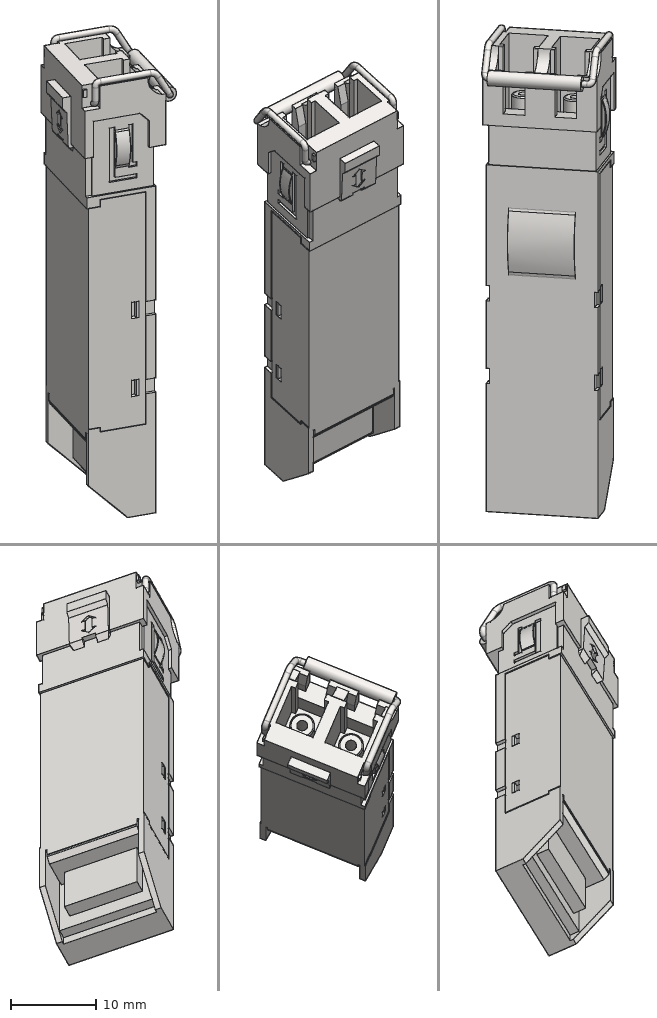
import cadquery as cq
import math

SIDES = (-1, 1)
OVER = 1.0

BODY_HALF_X = 6.7
BODY_BACK_Y = 8.5
BODY_TOP_Z = 42.3
COLLAR_FRONT_Y = -0.22
COLLAR_BOTTOM_Z = 40.85
TIP_CHAMFER = 4.9

PANEL_DEPTH = 0.12
PANEL_BACK_Y = 7.25
PANEL_STEP_Y = 1.5
PANEL_BOTTOM_Z = 11.7
PANEL_BOTTOM_FRONT_Z = 12.25
PANEL_TOP_Z = 41.75

NOTCH_LEVELS = (26.65, 16.55)
NOTCH_HEIGHT = 1.85
NOTCH_DEPTH = 0.4
WINDOW_HEIGHT = 2.1
WINDOW_FRONT_Y = 5.48
WINDOW_BACK_Y = 6.08
WINDOW_DEPTH = 0.7
WINDOW_LIP_Y = 6.43
WINDOW_LIP_DEPTH = 0.15

RECESS_HALF_X = 5.95
RECESS_FLOOR_Y = 4.15
RECESS_TOP_Z = 10.25
RECESS_TOP_CHAMFER = 0.65
RECESS_LIP_Z = 10.55
RECESS_LIP_DEPTH = 0.08
UNDERCUT_TOP_Z = 1.18
UNDERCUT_FLOOR_Y = 5.3
BLOCK_HALF_X = 4.65
BLOCK_BOTTOM_Z = 3.25
BLOCK_FRONT_Y = 2.58
SLIT_WIDTH = 0.2
SLIT_TOP_Z = 11.45

BACK_SPRING_HALF_X = 4.0
BACK_SPRING_BOTTOM_Z = 29.05
BACK_SPRING_TOP_Z = 37.2
BACK_SPRING_RISE = 0.7
SPRING_THICKNESS = 0.12

NECK_HALF_X = 6.45
NECK_FRONT_HALF_X = 6.22
NECK_STEP_Y = 0.52
NECK_BACK_Y = 8.3

HEAD_HALF_X = 6.85
HEAD_FRONT_Y = -0.55
HEAD_BACK_Y = 9.7
HEAD_BOTTOM_Z = 47.5
HEAD_TOP_Z = 56.57
SCOOP_FRONT_Y = 7.4
SCOOP_BACK_Y = 9.2
SCOOP_MID = (7.9, 55.0)
SCOOP_BOTTOM_Z = 54.1

SIDE_WINDOW_BACK_Y = 7.6
SIDE_WINDOW_TOP_Z = 52.13
SIDE_WINDOW_CHAMFER = 1.2

SPRING_FRONT_Y = 3.45
SPRING_BACK_Y = 5.2
SPRING_BOTTOM_Z = 45.4
SPRING_TOP_Z = 50.3
SPRING_PEAK_X = 7.0
SLIT_DEPTH = 0.3
SLIT_HEAD_Z = 50.7
SLIT_FRONT_Y = 2.7
SLIT_BACK_Y = 5.72
SLIT_FOOT_Y = 6.2
SLIT_FOOT_TOP_Z = 45.75
SLIT_FOOT_BOTTOM_Z = 45.2
SLIT_BASE_TOP_Z = 44.2
SLIT_BASE_BOTTOM_Z = 43.67

PORT_PITCH = 6.2
PORT_WIDTH = 4.7
PORT_FRONT_Y = 1.9
PORT_SHOULDER_Y = 6.6
PORT_NECK_WIDTH = 3.65
PORT_FLOOR_Z = 44.0
LATCH_BACK_Y = 9.0
LATCH_FLOOR_Z = 49.0
LATCH_SLOT_WIDTH = 2.6
TOOTH_REACH = 0.6
TOOTH_FALL = 2.5
SLEEVE_D = 2.92
SLEEVE_BORE = 1.25
SLEEVE_CHAMFER = 0.16
SLEEVE_Y = 4.23
SLEEVE_TOP_Z = 50.0

TAB_HALF_X = 2.5
TAB_FRONT_Y = -1.6
TAB_TOP_Z = 53.65
TAB_GRIP_Z = 52.15
TAB_FACE_TOP = (-1.07, 51.6)
TAB_FACE_BOTTOM = (-0.87, 47.1)
TAB_BOTTOM_Z = 46.4
TAB_CORNER_X = 0.3
TAB_CORNER_Z = 0.6
TAB_GAP_HALF_X = 0.85
TAB_GAP_TOP_Z = 47.4

ARROW_CENTER_Z = 49.4
ARROW_HALF_LENGTH = 1.5
ARROW_NECK = 0.75
ARROW_HEAD_HALF_X = 0.9
ARROW_SHAFT_HALF_X = 0.45
ARROW_FLOOR_Y = -0.75

WIRE_D = 0.8
WIRE_X = 6.45
WIRE_FRONT_Y = 0.95
WIRE_FOOT_Z = 54.05
WIRE_TOP_Z = 56.95
WIRE_BEND_Y = 8.5
BEND_RADIUS = 0.55
BACK_BEND_RADIUS = 1.2
ROLLER_D = 1.8
ROLLER_Y = 10.5
ROLLER_Z = 53.5
ROLLER_LEFT_X = -5.27
ROLLER_RIGHT_X = 5.95

POCKET_INNER_X = 5.92
POCKET_BACK_Y = 1.4
POCKET_BOTTOM_Z = 53.65
LUG_OUTER_X = 6.2
LUG_FRONT_Y = -0.45
LUG_BOTTOM_Z = 55.1
LUG_TOP_Z = 56.05


def box(x0, x1, y0, y1, z0, z1):
    """Axis-aligned block between two opposite corners."""
    return cq.Workplane("XY").box(x1 - x0, y1 - y0, z1 - z0, centered=False).translate((x0, y0, z0))


def side_box(side, x_in, x_out, y0, y1, z0, z1):
    """Block on one side of the part; x_in and x_out are distances from the middle plane."""
    x0, x1 = sorted((side * x_in, side * x_out))
    return box(x0, x1, y0, y1, z0, z1)


def across(outline, x0, x1):
    """Extrude a closed (Y, Z) outline from x0 to x1."""
    return cq.Workplane("YZ", origin=(x0, 0, 0)).polyline(outline).close().extrude(x1 - x0)


def side_cut(side, outline, x_in):
    """Cutter with a (Y, Z) outline that removes everything farther out than x_in."""
    x0, x1 = sorted((side * x_in, side * (HEAD_HALF_X + OVER)))
    return across(outline, x0, x1)


def arch(workplane, base, bottom, top, rise, direction, length):
    """Thin arched strip.

    base and rise lie along the workplane's first axis, bottom and top along its second.
    """
    middle = (bottom + top) / 2
    outer = base + direction * rise
    inner = outer - direction * SPRING_THICKNESS
    foot = base - direction * SPRING_THICKNESS
    return (
        workplane.moveTo(base, bottom)
        .threePointArc((outer, middle), (base, top))
        .lineTo(foot, top)
        .threePointArc((inner, middle), (foot, bottom))
        .close()
        .extrude(length)
    )


def make_body():
    """Long body with its collar and the sloped tip."""
    outline = [
        (TIP_CHAMFER, 0),
        (BODY_BACK_Y, 0),
        (BODY_BACK_Y, BODY_TOP_Z),
        (COLLAR_FRONT_Y, BODY_TOP_Z),
        (COLLAR_FRONT_Y, COLLAR_BOTTOM_Z),
        (0, COLLAR_BOTTOM_Z),
        (0, TIP_CHAMFER),
    ]
    return across(outline, -BODY_HALF_X, BODY_HALF_X)


def cut_side_details(body):
    """Side panels, back notches and panel windows on both flanks."""
    panel = [
        (-OVER, PANEL_BOTTOM_FRONT_Z),
        (PANEL_STEP_Y, PANEL_BOTTOM_FRONT_Z),
        (PANEL_STEP_Y, PANEL_BOTTOM_Z),
        (PANEL_BACK_Y, PANEL_BOTTOM_Z),
        (PANEL_BACK_Y, PANEL_TOP_Z),
        (PANEL_STEP_Y, PANEL_TOP_Z),
        (PANEL_STEP_Y, COLLAR_BOTTOM_Z),
        (-OVER, COLLAR_BOTTOM_Z),
    ]
    outside = BODY_HALF_X + OVER
    for side in SIDES:
        body = body.cut(side_cut(side, panel, BODY_HALF_X - PANEL_DEPTH))
        for level in NOTCH_LEVELS:
            notch_z = (level - NOTCH_HEIGHT / 2, level + NOTCH_HEIGHT / 2)
            window_z = (level - WINDOW_HEIGHT / 2, level + WINDOW_HEIGHT / 2)
            notch_x = BODY_HALF_X - NOTCH_DEPTH
            window_x = BODY_HALF_X - WINDOW_DEPTH
            lip_x = BODY_HALF_X - WINDOW_LIP_DEPTH
            body = body.cut(side_box(side, notch_x, outside, PANEL_BACK_Y, BODY_BACK_Y + OVER, *notch_z))
            body = body.cut(side_box(side, window_x, outside, WINDOW_FRONT_Y, WINDOW_BACK_Y, *window_z))
            body = body.cut(side_box(side, lip_x, outside, WINDOW_BACK_Y, WINDOW_LIP_Y, *window_z))
    return body


def cut_connector_recess(body):
    """Recess at the front of the tip, with its raised block, undercut, lip and two corner slits."""
    chamfer_bottom_z = RECESS_TOP_Z - RECESS_TOP_CHAMFER
    recess = [
        (-OVER, -OVER),
        (UNDERCUT_FLOOR_Y, -OVER),
        (UNDERCUT_FLOOR_Y, UNDERCUT_TOP_Z),
        (RECESS_FLOOR_Y, UNDERCUT_TOP_Z),
        (RECESS_FLOOR_Y, chamfer_bottom_z),
        (RECESS_LIP_DEPTH + RECESS_TOP_CHAMFER, chamfer_bottom_z),
        (RECESS_LIP_DEPTH, RECESS_TOP_Z),
        (RECESS_LIP_DEPTH, RECESS_LIP_Z),
        (-OVER, RECESS_LIP_Z),
    ]
    block = box(
        -BLOCK_HALF_X, BLOCK_HALF_X, BLOCK_FRONT_Y, RECESS_FLOOR_Y, BLOCK_BOTTOM_Z, chamfer_bottom_z
    )
    body = body.cut(across(recess, -RECESS_HALF_X, RECESS_HALF_X).cut(block))
    slit_inner_x = RECESS_HALF_X - SLIT_WIDTH
    for side in SIDES:
        body = body.cut(
            side_box(side, slit_inner_x, RECESS_HALF_X, -OVER, RECESS_FLOOR_Y, UNDERCUT_TOP_Z, SLIT_TOP_Z)
        )
    return body


def make_back_spring():
    """Arched grounding spring on the back of the body."""
    plane = cq.Workplane("YZ", origin=(-BACK_SPRING_HALF_X, 0, 0))
    return arch(
        plane,
        BODY_BACK_Y,
        BACK_SPRING_BOTTOM_Z,
        BACK_SPRING_TOP_Z,
        BACK_SPRING_RISE,
        1,
        2 * BACK_SPRING_HALF_X,
    )


def make_neck():
    """Neck block, narrower along its front edge, reaching up into the head."""
    front = box(
        -NECK_FRONT_HALF_X, NECK_FRONT_HALF_X, COLLAR_FRONT_Y, NECK_STEP_Y, BODY_TOP_Z, HEAD_BOTTOM_Z
    )
    main = box(-NECK_HALF_X, NECK_HALF_X, NECK_STEP_Y, NECK_BACK_Y, BODY_TOP_Z, HEAD_BOTTOM_Z)
    return front.union(main)


def make_head():
    """Head block with the concave back edge, a window in each side and front corner pockets with lugs."""
    head = (
        cq.Workplane("YZ", origin=(-HEAD_HALF_X, 0, 0))
        .moveTo(HEAD_FRONT_Y, HEAD_BOTTOM_Z)
        .lineTo(HEAD_BACK_Y, HEAD_BOTTOM_Z)
        .lineTo(HEAD_BACK_Y, SCOOP_BOTTOM_Z)
        .lineTo(SCOOP_BACK_Y, SCOOP_BOTTOM_Z)
        .threePointArc(SCOOP_MID, (SCOOP_FRONT_Y, HEAD_TOP_Z))
        .lineTo(HEAD_FRONT_Y, HEAD_TOP_Z)
        .close()
        .extrude(2 * HEAD_HALF_X)
    )
    window = [
        (NECK_STEP_Y, HEAD_BOTTOM_Z),
        (SIDE_WINDOW_BACK_Y, HEAD_BOTTOM_Z),
        (SIDE_WINDOW_BACK_Y, SIDE_WINDOW_TOP_Z - SIDE_WINDOW_CHAMFER),
        (SIDE_WINDOW_BACK_Y - SIDE_WINDOW_CHAMFER, SIDE_WINDOW_TOP_Z),
        (NECK_STEP_Y, SIDE_WINDOW_TOP_Z),
    ]
    for side in SIDES:
        head = head.cut(side_cut(side, window, NECK_HALF_X))
        head = head.cut(
            side_box(
                side,
                POCKET_INNER_X,
                HEAD_HALF_X + OVER,
                HEAD_FRONT_Y - OVER,
                POCKET_BACK_Y,
                POCKET_BOTTOM_Z,
                HEAD_TOP_Z + OVER,
            )
        )
        head = head.union(
            side_box(side, POCKET_INNER_X, LUG_OUTER_X, LUG_FRONT_Y, 0, LUG_BOTTOM_Z, LUG_TOP_Z)
        )
    return head


def add_side_springs(part):
    """Slits that free a tongue in each side of the neck, and the tongue's arch."""
    back_slit = [
        (SPRING_BACK_Y, SLIT_HEAD_Z),
        (SLIT_BACK_Y, SLIT_HEAD_Z),
        (SLIT_BACK_Y, SLIT_FOOT_TOP_Z),
        (SLIT_FOOT_Y, SLIT_FOOT_TOP_Z),
        (SLIT_FOOT_Y, SLIT_FOOT_BOTTOM_Z),
        (SPRING_BACK_Y, SLIT_FOOT_BOTTOM_Z),
    ]
    front_slit = [
        (SPRING_FRONT_Y, SLIT_HEAD_Z),
        (SLIT_FRONT_Y, SLIT_HEAD_Z),
        (SLIT_FRONT_Y, SLIT_BASE_BOTTOM_Z),
        (SLIT_FOOT_Y, SLIT_BASE_BOTTOM_Z),
        (SLIT_FOOT_Y, SLIT_BASE_TOP_Z),
        (SPRING_FRONT_Y, SLIT_BASE_TOP_Z),
    ]
    plane = cq.Workplane("XZ", origin=(0, SPRING_BACK_Y, 0))
    for side in SIDES:
        for slit in (back_slit, front_slit):
            part = part.cut(side_cut(side, slit, NECK_HALF_X - SLIT_DEPTH))
        part = part.union(
            arch(
                plane,
                side * NECK_HALF_X,
                SPRING_BOTTOM_Z,
                SPRING_TOP_Z,
                SPRING_PEAK_X - NECK_HALF_X,
                side,
                SPRING_BACK_Y - SPRING_FRONT_Y,
            )
        )
    return part


def make_port(center_x):
    """Cavity of one connector port, keeping the sleeve and the two latch teeth."""
    half = PORT_WIDTH / 2
    neck_half = PORT_NECK_WIDTH / 2
    slot_half = LATCH_SLOT_WIDTH / 2
    above = HEAD_TOP_Z + OVER
    port = box(-half, half, PORT_FRONT_Y, PORT_SHOULDER_Y, PORT_FLOOR_Z, above)
    port = port.union(box(-neck_half, neck_half, PORT_FRONT_Y, SCOOP_FRONT_Y, PORT_FLOOR_Z, above))

    tooth_bottom_z = SCOOP_BOTTOM_Z - TOOTH_FALL
    latch_outline = [
        (SCOOP_FRONT_Y, LATCH_FLOOR_Z),
        (LATCH_BACK_Y - TOOTH_REACH, LATCH_FLOOR_Z),
        (LATCH_BACK_Y - TOOTH_REACH, tooth_bottom_z),
        (LATCH_BACK_Y, SCOOP_BOTTOM_Z),
        (HEAD_BACK_Y, SCOOP_BOTTOM_Z),
        (HEAD_BACK_Y, above),
        (SCOOP_FRONT_Y, above),
    ]
    port = port.union(across(latch_outline, -half, half))
    port = port.union(
        box(-slot_half, slot_half, SCOOP_FRONT_Y, HEAD_BACK_Y + OVER, LATCH_FLOOR_Z, above)
    )

    sleeve = (
        cq.Workplane("XY", origin=(0, SLEEVE_Y, PORT_FLOOR_Z))
        .circle(SLEEVE_D / 2)
        .extrude(SLEEVE_TOP_Z - PORT_FLOOR_Z)
        .faces(">Z")
        .chamfer(SLEEVE_CHAMFER)
        .faces(">Z")
        .workplane()
        .hole(SLEEVE_BORE)
    )
    return port.cut(sleeve).translate((center_x, 0, 0))


def make_tab():
    """Slider tab on the front, with a gap in its lower edge and a sunk double arrow."""
    profile = [
        (HEAD_FRONT_Y, TAB_TOP_Z),
        (TAB_FRONT_Y, TAB_TOP_Z),
        (TAB_FRONT_Y, TAB_GRIP_Z),
        TAB_FACE_TOP,
        TAB_FACE_BOTTOM,
        (COLLAR_FRONT_Y, TAB_BOTTOM_Z),
        (COLLAR_FRONT_Y, HEAD_BOTTOM_Z),
        (HEAD_FRONT_Y, HEAD_BOTTOM_Z),
    ]
    tab = across(profile, -TAB_HALF_X, TAB_HALF_X)
    tab = tab.cut(
        box(-TAB_GAP_HALF_X, TAB_GAP_HALF_X, TAB_FRONT_Y, 0, TAB_BOTTOM_Z - OVER, TAB_GAP_TOP_Z)
    )
    for side in SIDES:
        corner = [
            (side * TAB_HALF_X, TAB_BOTTOM_Z),
            (side * (TAB_HALF_X - TAB_CORNER_X), TAB_BOTTOM_Z),
            (side * TAB_HALF_X, TAB_BOTTOM_Z + TAB_CORNER_Z),
        ]
        tab = tab.cut(cq.Workplane("XZ").polyline(corner).close().extrude(-TAB_FRONT_Y))
    right_half = [
        (ARROW_HEAD_HALF_X, ARROW_NECK),
        (ARROW_SHAFT_HALF_X, ARROW_NECK),
        (ARROW_SHAFT_HALF_X, -ARROW_NECK),
        (ARROW_HEAD_HALF_X, -ARROW_NECK),
    ]
    left_half = [(-x, z) for x, z in reversed(right_half)]
    arrow_outline = [(0, ARROW_HALF_LENGTH)] + right_half + [(0, -ARROW_HALF_LENGTH)] + left_half
    arrow_plane = cq.Workplane("XZ", origin=(0, ARROW_FLOOR_Y, ARROW_CENTER_Z))
    arrow = arrow_plane.polyline(arrow_outline).close().extrude(OVER)
    return tab.cut(arrow)


def rounded_path(points, radii):
    """Path through the points; radii holds the bend radius of each inner corner in turn."""
    corners = [cq.Vector(*point) for point in points]
    edges = []
    start = corners[0]
    for before, corner, after, radius in zip(corners, corners[1:], corners[2:], radii):
        back = (before - corner).normalized()
        ahead = (after - corner).normalized()
        half_angle = back.getAngle(ahead) / 2
        setback = radius / math.tan(half_angle)
        bulge = radius / math.sin(half_angle) - radius
        arc_start = corner + back * setback
        arc_middle = corner + (back + ahead).normalized() * bulge
        arc_end = corner + ahead * setback
        edges.append(cq.Edge.makeLine(start, arc_start))
        edges.append(cq.Edge.makeThreePointArc(arc_start, arc_middle, arc_end))
        start = arc_end
    edges.append(cq.Edge.makeLine(start, corners[-1]))
    return cq.Wire.assembleEdges(edges)


def make_bail():
    """Bent wire hinged in the front pockets, with the roller on its cross bar."""
    left_arm = [
        (-POCKET_INNER_X + WIRE_D, WIRE_FRONT_Y, WIRE_FOOT_Z),
        (-WIRE_X, WIRE_FRONT_Y, WIRE_FOOT_Z),
        (-WIRE_X, WIRE_FRONT_Y, WIRE_TOP_Z),
        (-WIRE_X, WIRE_BEND_Y, WIRE_TOP_Z),
        (-WIRE_X, ROLLER_Y, ROLLER_Z),
    ]
    right_arm = [(-x, y, z) for x, y, z in reversed(left_arm)]
    left_radii = [BEND_RADIUS, BEND_RADIUS, BACK_BEND_RADIUS, BEND_RADIUS]
    path = rounded_path(left_arm + right_arm, left_radii + left_radii[::-1])
    wire = cq.Workplane("YZ", origin=left_arm[0]).circle(WIRE_D / 2).sweep(cq.Workplane(obj=path))
    roller = (
        cq.Workplane("YZ", origin=(ROLLER_LEFT_X, ROLLER_Y, ROLLER_Z))
        .circle(ROLLER_D / 2)
        .extrude(ROLLER_RIGHT_X - ROLLER_LEFT_X)
    )
    return wire.union(roller)


body = cut_connector_recess(cut_side_details(make_body()))
part = body.union(make_back_spring()).union(make_neck()).union(make_head())
for side in SIDES:
    part = part.cut(make_port(side * PORT_PITCH / 2))
part = add_side_springs(part)
part = part.union(make_tab())
result = part.union(make_bail())